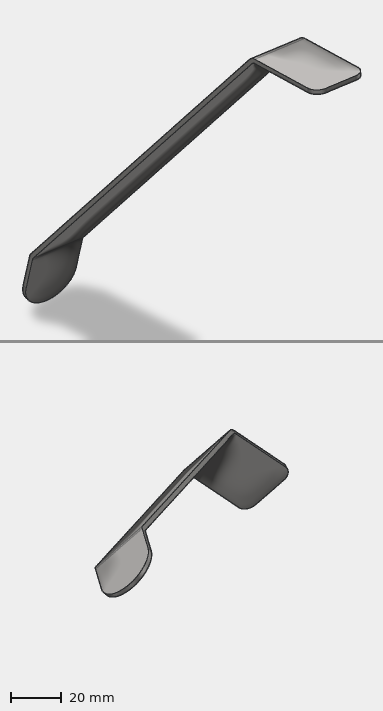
import cadquery as cq
import math

width = 25.1
thickness = 2.0
inner_bend_radius = 3.0
outer_bend_radius = inner_bend_radius + thickness

lower_tab_length = 29.3
arm_length = 212.7
upper_tab_length = 40.8
upper_corner_radius = 5.0

arm_angle = 26.6
upper_tab_angle = 70.2
lean_angle = 11.4


def advance(point, angle, length):
    """Move a point in the XZ plane along a direction measured from +Z toward +X."""
    a = math.radians(angle)
    return (point[0] + length * math.sin(a), point[1] + length * math.cos(a))


def inner_corner(outer, angle_before, angle_after):
    """Inner-face corner lying on the bisector of a bend."""
    half_turn = math.radians(angle_after - angle_before) / 2
    bisector = (angle_before + angle_after) / 2 + 90
    return advance(outer, bisector, thickness / math.cos(half_turn))


tip = (0, 0)
lower_bend = (0, lower_tab_length)
upper_bend = advance(lower_bend, arm_angle, arm_length)
upper_end = advance(upper_bend, upper_tab_angle, upper_tab_length)
lower_bend_inner = inner_corner(lower_bend, 0, arm_angle)
upper_bend_inner = inner_corner(upper_bend, arm_angle, upper_tab_angle)
upper_end_inner = advance(upper_end, upper_tab_angle + 90, thickness)

strip = (
    cq.Workplane("XZ")
    .polyline([
        tip, lower_bend, upper_bend, upper_end,
        upper_end_inner, upper_bend_inner, lower_bend_inner, (thickness, 0),
    ])
    .close()
    .extrude(width / 2, both=True)
)

for corner, radius in [
    (lower_bend, outer_bend_radius),
    (upper_bend, outer_bend_radius),
    (lower_bend_inner, inner_bend_radius),
    (upper_bend_inner, inner_bend_radius),
]:
    nearest = cq.NearestToPointSelector((corner[0], 0, corner[1]))
    strip = strip.edges("|Y").edges(nearest).fillet(radius)

end_radius = width / 2
lower_outline = (
    cq.Workplane("YZ")
    .moveTo(-end_radius, end_radius)
    .threePointArc(tip, (end_radius, end_radius))
    .lineTo(end_radius, upper_end[1])
    .lineTo(-end_radius, upper_end[1])
    .close()
    .extrude(upper_end[0] + thickness)
)
strip = strip.intersect(lower_outline)

for side in (-1, 1):
    middle = [(a + b) / 2 for a, b in zip(upper_end, upper_end_inner)]
    nearest = cq.NearestToPointSelector((middle[0], side * width / 2, middle[1]))
    strip = strip.edges(nearest).fillet(upper_corner_radius)

result = strip.rotate((0, 0, 0), (1, 0, 0), -lean_angle)